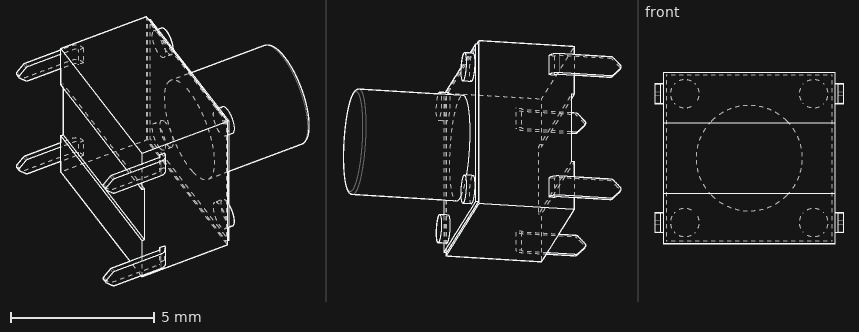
import cadquery as cq
import math

body_side = 6.0
body_depth = 3.4
recess_depth = 0.1
recess_height = 2.47

cover_thickness = 0.1
cover_inset = 0.1
cover_side = body_side - 2 * cover_inset

button_diameter = 3.7
button_length = 3.8
button_edge_radius = 0.1
peg_diameter = 1.0
peg_height = 0.3
peg_spacing = 4.5

pin_overhang = 0.3
pin_thickness = 0.2
pin_width = 0.7
pin_spacing = 4.5
pin_bend_above_base = 0.9
pin_tip_below_base = 1.6
pin_corner_radius = 0.1
pin_root = 0.09

cover_base_y = body_depth
cover_top_y = cover_base_y + cover_thickness


def facing_plane(y):
    """Plane at height y whose normal is +Y and whose local Y axis is +Z."""
    return cq.Plane(origin=(0, y, 0), xDir=(-1, 0, 0), normal=(0, 1, 0))


def make_housing():
    block = cq.Workplane(facing_plane(0)).rect(body_side, body_side).extrude(body_depth)
    recess = cq.Workplane(facing_plane(0)).rect(body_side, recess_height).extrude(recess_depth)
    cover = (
        cq.Workplane(facing_plane(cover_base_y))
        .rect(cover_side, cover_side)
        .extrude(cover_thickness)
    )
    return block.cut(recess).union(cover)


def make_button():
    return (
        cq.Workplane(facing_plane(cover_top_y))
        .circle(button_diameter / 2)
        .extrude(button_length)
        .faces(">Y")
        .edges()
        .fillet(button_edge_radius)
    )


def make_pegs():
    return (
        cq.Workplane(facing_plane(cover_top_y))
        .rect(peg_spacing, peg_spacing, forConstruction=True)
        .vertices()
        .circle(peg_diameter / 2)
        .extrude(peg_height)
    )


def make_pin():
    """Pin on the -X side, centred on Z = 0: bent strip with a rounded 45-degree point."""
    side_x = -body_side / 2
    outer_x = side_x - pin_overhang
    inner_x = outer_x + pin_thickness
    root_x = side_x + pin_root
    top_y = pin_bend_above_base
    bend_y = top_y - pin_overhang
    half_width = pin_width / 2
    strip = (
        cq.Workplane("XY")
        .moveTo(root_x, top_y)
        .lineTo(side_x, top_y)
        .radiusArc((outer_x, bend_y), -pin_overhang)
        .lineTo(outer_x, -pin_tip_below_base)
        .lineTo(inner_x, -pin_tip_below_base)
        .lineTo(inner_x, bend_y)
        .radiusArc((side_x, top_y - pin_thickness), pin_overhang - pin_thickness)
        .lineTo(root_x, top_y - pin_thickness)
        .close()
        .extrude(half_width, both=True)
    )
    sharp_tip_y = -pin_tip_below_base - pin_corner_radius * (math.sqrt(2) - 1)
    shoulder_y = sharp_tip_y + half_width
    profile = (
        cq.Workplane("YZ", origin=(outer_x, 0, 0))
        .moveTo(top_y, -half_width)
        .lineTo(shoulder_y, -half_width)
        .lineTo(sharp_tip_y, 0)
        .lineTo(shoulder_y, half_width)
        .lineTo(top_y, half_width)
        .close()
        .extrude(pin_overhang + pin_root)
    )
    rounded = profile.edges("|X").edges("not >Y").fillet(pin_corner_radius)
    return strip.intersect(rounded)


result = make_housing().union(make_button()).union(make_pegs())
left_pin = make_pin()
for pin in (left_pin, left_pin.mirror("YZ")):
    for z in (-pin_spacing / 2, pin_spacing / 2):
        result = result.union(pin.translate((0, 0, z)))